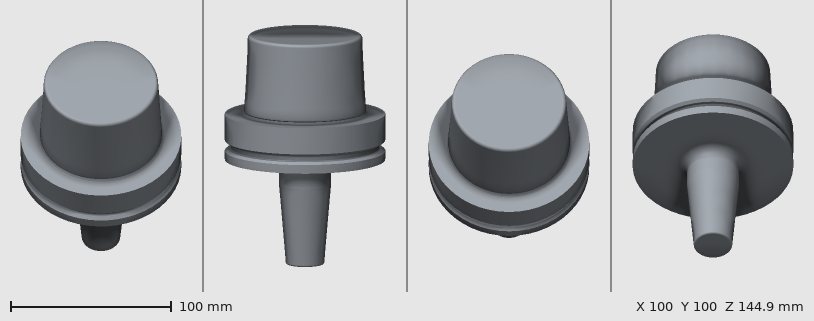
import cadquery as cq
import math

TOTAL_HEIGHT = 144.9
SHANK_TAPER_TOP = 50.1
COLLAR_TOP = 58.1
FLANGE_BOTTOM = 66.2
FLANGE_TOP = 95.0

SHANK_TIP_RADIUS = 12.0
COLLAR_RADIUS = 16.2
COLLAR_STEP = 0.1
ROOT_RADIUS = COLLAR_RADIUS - COLLAR_STEP
SHANK_TIP_ROUND = 1.2
FLANGE_FILLET = 6.0

FLANGE_RADIUS = 50.0
GROOVE_FLOOR_RADIUS = 46.1
GROOVE_WALL_RADIUS = 48.1
GROOVE_BOTTOM = 73.2
GROOVE_TOP = 77.0
GROOVE_MOUTH_BOTTOM = 71.7
GROOVE_MOUTH_TOP = 78.4
GROOVE_FLOOR_FILLET = 0.7

HEAD_BASE_RADIUS = 38.0
HEAD_TOP_RADIUS = 35.6
HEAD_TOP_ROUND = 2.0
HEAD_TAPER_BOTTOM = 97.8
HEAD_LAND_BOTTOM = 97.0
NECK_DEPTH = 0.6
NECK_FLARE_RADIUS = 38.7
NECK_FLARE_BOTTOM = 95.3
NECK_FOOT_RADIUS = 39.4

CORNER_SHARE = 1 - math.sqrt(0.5)


def add_corner_round(profile, corner, start, end):
    """Add a quarter round whose tangents meet at corner, from start to end."""
    middle = tuple(
        c + CORNER_SHARE * (s - c) + CORNER_SHARE * (e - c)
        for c, s, e in zip(corner, start, end)
    )
    return profile.lineTo(*start).threePointArc(middle, end)


def add_shank(profile):
    profile = add_corner_round(
        profile,
        (SHANK_TIP_RADIUS, 0),
        (SHANK_TIP_RADIUS - SHANK_TIP_ROUND, 0),
        (SHANK_TIP_RADIUS, SHANK_TIP_ROUND),
    )
    profile = (
        profile.lineTo(COLLAR_RADIUS, SHANK_TAPER_TOP)
        .lineTo(COLLAR_RADIUS, COLLAR_TOP)
        .lineTo(ROOT_RADIUS, COLLAR_TOP)
    )
    return add_corner_round(
        profile,
        (ROOT_RADIUS, FLANGE_BOTTOM),
        (ROOT_RADIUS, FLANGE_BOTTOM - FLANGE_FILLET),
        (ROOT_RADIUS + FLANGE_FILLET, FLANGE_BOTTOM),
    )


def add_flange(profile):
    profile = (
        profile.lineTo(FLANGE_RADIUS, FLANGE_BOTTOM)
        .lineTo(FLANGE_RADIUS, GROOVE_MOUTH_BOTTOM)
        .lineTo(GROOVE_WALL_RADIUS, GROOVE_BOTTOM)
    )
    profile = add_corner_round(
        profile,
        (GROOVE_FLOOR_RADIUS, GROOVE_BOTTOM),
        (GROOVE_FLOOR_RADIUS + GROOVE_FLOOR_FILLET, GROOVE_BOTTOM),
        (GROOVE_FLOOR_RADIUS, GROOVE_BOTTOM + GROOVE_FLOOR_FILLET),
    )
    profile = add_corner_round(
        profile,
        (GROOVE_FLOOR_RADIUS, GROOVE_TOP),
        (GROOVE_FLOOR_RADIUS, GROOVE_TOP - GROOVE_FLOOR_FILLET),
        (GROOVE_FLOOR_RADIUS + GROOVE_FLOOR_FILLET, GROOVE_TOP),
    )
    return (
        profile.lineTo(GROOVE_WALL_RADIUS, GROOVE_TOP)
        .lineTo(FLANGE_RADIUS, GROOVE_MOUTH_TOP)
        .lineTo(FLANGE_RADIUS, FLANGE_TOP)
    )


def add_head(profile):
    neck_radius = HEAD_BASE_RADIUS - NECK_DEPTH
    profile = (
        profile.lineTo(NECK_FOOT_RADIUS, FLANGE_TOP)
        .lineTo(NECK_FLARE_RADIUS, NECK_FLARE_BOTTOM)
        .lineTo(neck_radius, HEAD_LAND_BOTTOM - NECK_DEPTH)
        .lineTo(HEAD_BASE_RADIUS, HEAD_LAND_BOTTOM)
        .lineTo(HEAD_BASE_RADIUS, HEAD_TAPER_BOTTOM)
    )
    return add_corner_round(
        profile,
        (HEAD_TOP_RADIUS, TOTAL_HEIGHT),
        (HEAD_TOP_RADIUS, TOTAL_HEIGHT - HEAD_TOP_ROUND),
        (HEAD_TOP_RADIUS - HEAD_TOP_ROUND, TOTAL_HEIGHT),
    )


half_section = cq.Workplane("XZ").moveTo(0, 0)
half_section = add_shank(half_section)
half_section = add_flange(half_section)
half_section = add_head(half_section)
half_section = half_section.lineTo(0, TOTAL_HEIGHT).close()

result = half_section.revolve(360, (0, 0, 0), (0, 1, 0))